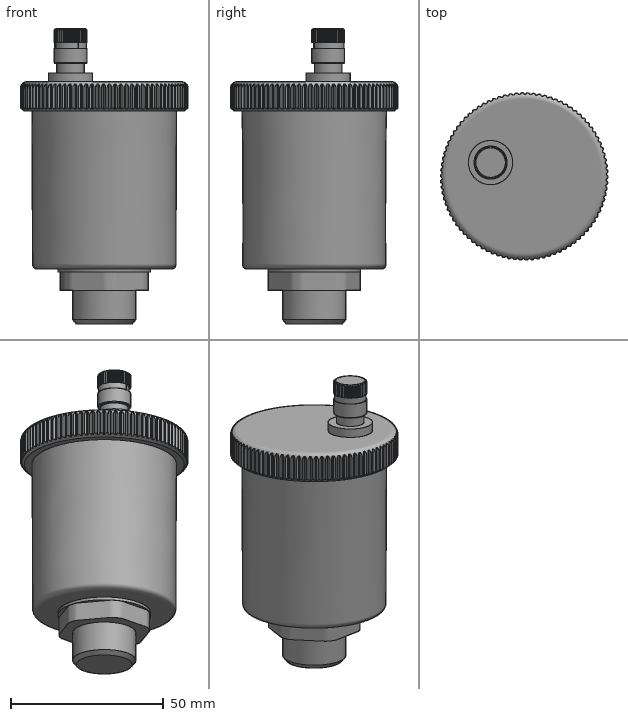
import cadquery as cq
import math

HEX_BOTTOM = 11.1
FLANGE_BOTTOM = 17.1
BODY_BOTTOM = 18.0
CAP_BOTTOM = 69.9
CAP_TOP = 79.6
BOSS_TOP = 82.5
COLLAR_BOTTOM = 85.6
COLLAR_TOP = 90.5
KNOB_BOTTOM = 92.5
KNOB_TOP = 97.0

TAIL_RADIUS = 10.4
TAIL_CHAMFER_WIDTH = 1.3
TAIL_CHAMFER_HEIGHT = 1.5
HEX_ACROSS_FLATS = 27.7
HEX_CORNER_RADIUS = 15.1
HEX_EDGE_FILLET = 2.9
HEX_TURN = 7.3
HEX_CORNER_COUNT = 6
FLANGE_RADIUS = 15.2

BODY_TOP_RADIUS = 23.8
BODY_BOTTOM_RADIUS = 23.6
BODY_RIM_FILLET = 1.65

CAP_DIAMETER = 55.0
CAP_RADIUS = CAP_DIAMETER / 2
CAP_TOP_FILLET = 2.1
CAP_CHAMFER_WIDTH = 1.3
CAP_CHAMFER_HEIGHT = 1.1
CAP_GROOVE_COUNT = 90
CAP_GROOVE_DEPTH = 0.5
CAP_GROOVE_FLOOR = 0.4
CAP_GROOVE_MOUTH = 1.5
CAP_GROOVE_START = 1.5

VALVE_X = -11.1
VALVE_Y = 4.6
BOSS_RADIUS = 7.3
STEM_RADIUS = 4.6
COLLAR_RADIUS = 5.4
COLLAR_CHAMFER = 0.3
NECK_RADIUS = 5.2
NECK_GAP_RADIUS = 4.85
NECK_GAP_START = 193.0
NECK_GAP_END = 300.0
KNOB_RADIUS = 5.4
KNOB_CHAMFER_WIDTH = 0.6
KNOB_CHAMFER_HEIGHT = 0.4
KNOB_GROOVE_COUNT = 34
KNOB_GROOVE_DEPTH = 0.3
KNOB_GROOVE_FLOOR = 0.2
KNOB_GROOVE_MOUTH = 0.8


def cylinder(radius, bottom, top):
    return cq.Workplane("XY").workplane(offset=bottom).circle(radius).extrude(top - bottom)


def revolve_profile(profile):
    return profile.close().revolve(360, (0, 0, 0), (0, 1, 0))


def rim_grooves(rim_radius, depth, floor_width, mouth_width, count, start_angle, bottom, top):
    """Upright flared grooves spaced evenly about a rim of the given radius."""
    flare = (mouth_width - floor_width) / 2 / depth
    outer_half_width = floor_width / 2 + 2 * depth * flare
    floor_radius = rim_radius - depth
    outer_radius = rim_radius + depth
    groove = (
        cq.Workplane("XY")
        .workplane(offset=bottom)
        .polyline([
            (floor_radius, -floor_width / 2),
            (outer_radius, -outer_half_width),
            (outer_radius, outer_half_width),
            (floor_radius, floor_width / 2),
        ])
        .close()
        .extrude(top - bottom)
    )
    grooves = cq.Workplane("XY")
    for index in range(count):
        angle = start_angle + index * 360 / count
        grooves = grooves.add(groove.rotate((0, 0, 0), (0, 0, 1), angle))
    return grooves.combine()


def make_tail():
    profile = (
        cq.Workplane("XZ")
        .lineTo(TAIL_RADIUS - TAIL_CHAMFER_WIDTH, 0)
        .lineTo(TAIL_RADIUS, TAIL_CHAMFER_HEIGHT)
        .lineTo(TAIL_RADIUS, BODY_BOTTOM)
        .lineTo(0, BODY_BOTTOM)
    )
    return revolve_profile(profile)


def make_hexagon():
    height = FLANGE_BOTTOM - HEX_BOTTOM
    corner_to_corner = HEX_ACROSS_FLATS / math.cos(math.pi / HEX_CORNER_COUNT)
    hexagon = (
        cq.Workplane("XY")
        .workplane(offset=HEX_BOTTOM)
        .transformed(rotate=(0, 0, 180 / HEX_CORNER_COUNT + HEX_TURN))
        .polygon(HEX_CORNER_COUNT, corner_to_corner)
        .extrude(height)
    )
    turned_corners = cylinder(HEX_CORNER_RADIUS, HEX_BOTTOM, FLANGE_BOTTOM)
    return hexagon.intersect(turned_corners).edges("|Z").fillet(HEX_EDGE_FILLET)


def make_body():
    rim_flat_radius = BODY_BOTTOM_RADIUS - BODY_RIM_FILLET
    rim_top = BODY_BOTTOM + BODY_RIM_FILLET
    diagonal = BODY_RIM_FILLET * math.sqrt(0.5)
    profile = (
        cq.Workplane("XZ")
        .moveTo(0, BODY_BOTTOM)
        .lineTo(rim_flat_radius, BODY_BOTTOM)
        .threePointArc(
            (rim_flat_radius + diagonal, rim_top - diagonal),
            (BODY_BOTTOM_RADIUS, rim_top),
        )
        .lineTo(BODY_TOP_RADIUS, CAP_BOTTOM)
        .lineTo(0, CAP_BOTTOM)
    )
    return revolve_profile(profile)


def make_cap():
    fillet_start = CAP_TOP - CAP_TOP_FILLET
    top_flat_radius = CAP_RADIUS - CAP_TOP_FILLET
    diagonal = CAP_TOP_FILLET * math.sqrt(0.5)
    profile = (
        cq.Workplane("XZ")
        .moveTo(0, CAP_BOTTOM)
        .lineTo(CAP_RADIUS - CAP_CHAMFER_WIDTH, CAP_BOTTOM)
        .lineTo(CAP_RADIUS, CAP_BOTTOM + CAP_CHAMFER_HEIGHT)
        .lineTo(CAP_RADIUS, fillet_start)
        .threePointArc(
            (top_flat_radius + diagonal, fillet_start + diagonal),
            (top_flat_radius, CAP_TOP),
        )
        .lineTo(0, CAP_TOP)
    )
    grooves = rim_grooves(
        CAP_RADIUS, CAP_GROOVE_DEPTH, CAP_GROOVE_FLOOR, CAP_GROOVE_MOUTH,
        CAP_GROOVE_COUNT, CAP_GROOVE_START, CAP_BOTTOM, CAP_TOP,
    )
    return revolve_profile(profile).cut(grooves)


def make_neck():
    """Neck under the knob: a ring with an open sector showing the thinner core."""
    core = cylinder(NECK_GAP_RADIUS, COLLAR_TOP, KNOB_BOTTOM)
    sweep = NECK_GAP_START + 360 - NECK_GAP_END
    ring_start = math.radians(NECK_GAP_END)
    ring_middle = math.radians(NECK_GAP_END + sweep / 2)
    ring_end = math.radians(NECK_GAP_START)

    def on_ring(angle):
        return (NECK_RADIUS * math.cos(angle), NECK_RADIUS * math.sin(angle))

    ring = (
        cq.Workplane("XY")
        .workplane(offset=COLLAR_TOP)
        .lineTo(*on_ring(ring_start))
        .threePointArc(on_ring(ring_middle), on_ring(ring_end))
        .close()
        .extrude(KNOB_BOTTOM - COLLAR_TOP)
    )
    return core.union(ring)


def make_knob():
    profile = (
        cq.Workplane("XZ")
        .moveTo(0, KNOB_BOTTOM)
        .lineTo(KNOB_RADIUS, KNOB_BOTTOM)
        .lineTo(KNOB_RADIUS, KNOB_TOP - KNOB_CHAMFER_HEIGHT)
        .lineTo(KNOB_RADIUS - KNOB_CHAMFER_WIDTH, KNOB_TOP)
        .lineTo(0, KNOB_TOP)
    )
    grooves = rim_grooves(
        KNOB_RADIUS, KNOB_GROOVE_DEPTH, KNOB_GROOVE_FLOOR, KNOB_GROOVE_MOUTH,
        KNOB_GROOVE_COUNT, 0, KNOB_BOTTOM, KNOB_TOP,
    )
    return revolve_profile(profile).cut(grooves)


def make_valve():
    boss = cylinder(BOSS_RADIUS, CAP_TOP, BOSS_TOP)
    stem = cylinder(STEM_RADIUS, BOSS_TOP, COLLAR_BOTTOM)
    collar = cylinder(COLLAR_RADIUS, COLLAR_BOTTOM, COLLAR_TOP).faces("<Z").chamfer(COLLAR_CHAMFER)
    valve = boss.union(stem).union(collar).union(make_neck()).union(make_knob())
    return valve.translate((VALVE_X, VALVE_Y, 0))


flange = cylinder(FLANGE_RADIUS, FLANGE_BOTTOM, BODY_BOTTOM)
result = (
    make_tail()
    .union(make_hexagon())
    .union(flange)
    .union(make_body())
    .union(make_cap())
    .union(make_valve())
)